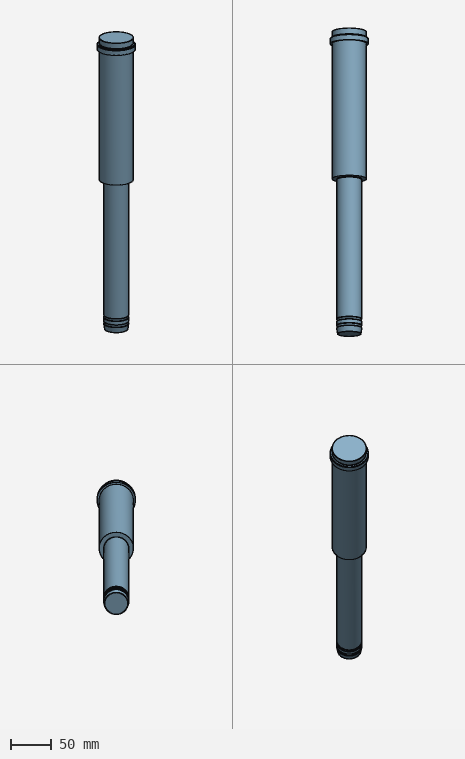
import cadquery as cq

total_length = 380.0
sleeve_bottom = 195.0
collar_height = 7.0
collar_top_drop = 8.5

collar_diameter = 47.0
sleeve_diameter = 42.0
pillar_diameter = 31.0

relief_width = 1.0
relief_depth = 0.5
collar_edge_break = 0.8
tip_edge_break = 0.5
sleeve_edge_break = 0.5

tip_length = 7.2
tip_diameter = 29.0

groove_width = 3.8
groove_depth = 0.5
groove_wall = 0.8
groove_pitch = 8.0
groove_count = 2
lowest_groove_bottom = tip_length


def cylinder(diameter, bottom, top):
    """Solid cylinder on the Z axis between two heights."""
    return cq.Workplane("XY").workplane(offset=bottom).circle(diameter / 2).extrude(top - bottom)


def ring_groove(diameter, depth, bottom, width):
    """Ring of material to remove from a cylinder of the given diameter."""
    top = bottom + width
    core = cylinder(diameter - 2 * depth, bottom, top)
    return cylinder(collar_diameter, bottom, top).cut(core)


def pillar_groove(bottom):
    """Ring groove whose walls slope in to a flat floor."""
    surface_radius = pillar_diameter / 2
    floor_radius = surface_radius - groove_depth
    top = bottom + groove_width
    return (
        cq.Workplane("XZ")
        .moveTo(surface_radius, bottom)
        .lineTo(floor_radius, bottom + groove_wall)
        .lineTo(floor_radius, top - groove_wall)
        .lineTo(surface_radius, top)
        .close()
        .revolve(360, (0, 0, 0), (0, 1, 0))
    )


tip = (
    cq.Workplane("XY")
    .circle(tip_diameter / 2)
    .workplane(offset=tip_length)
    .circle(pillar_diameter / 2)
    .loft(ruled=True)
    .faces("<Z")
    .chamfer(tip_edge_break)
)
pillar = tip.union(cylinder(pillar_diameter, tip_length, sleeve_bottom))
for index in range(groove_count):
    pillar = pillar.cut(pillar_groove(lowest_groove_bottom + index * groove_pitch))

shoulder_relief_bottom = sleeve_bottom - relief_width
pillar = pillar.cut(ring_groove(pillar_diameter, relief_depth, shoulder_relief_bottom, relief_width))

collar_top = total_length - collar_top_drop
sleeve = cylinder(sleeve_diameter, sleeve_bottom, total_length).faces(">Z").chamfer(sleeve_edge_break)
sleeve = sleeve.cut(ring_groove(sleeve_diameter, relief_depth, collar_top, relief_width))
collar = cylinder(collar_diameter, collar_top - collar_height, collar_top)
collar = collar.faces(">Z").chamfer(collar_edge_break)

result = pillar.union(sleeve).union(collar)